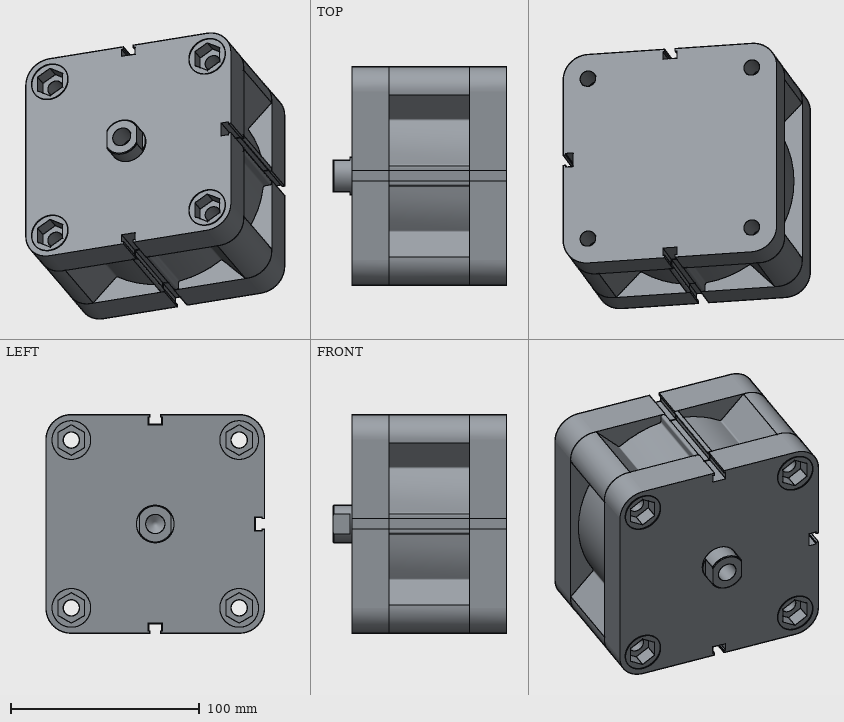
import cadquery as cq
import math


side = 116.0
half_side = side / 2
cap_length = 19.7
barrel_length = 42.6
rear_cap_start = cap_length + barrel_length
cap_corner_radius = 13.5

bolt_spacing = 89.0
bolt_hole_diameter = 8.5
hex_across_flats = 14.0
hex_depth = 8.7
washer_recess_diameter = 20.5
washer_recess_depth = 0.6

slot_turns = (0, -90, 180)
slot_mouth_width = 5.6
slot_lip = 1.4
cap_slot_width = 7.5
cap_slot_depth = 5.5
barrel_slot_width = 6.7
barrel_slot_depth = 5.0

barrel_round_radius = 53.5
strut_turns = (45, 135, 225, 315)
strut_width = 21.0
strut_end_radius = cap_corner_radius
rail_width = 10.5
rail_inset = 0.1
rail_top = half_side - rail_inset
rail_fillet = 1.0
slot_mouth_fillet = 0.3

rod_diameter = 20.0
rod_reach = 10.0
rod_chamfer = 0.5
rod_flats = 16.8
rod_flats_length = 8.9
rod_hole_diameter = 10.2
rod_hole_depth = 15.1
drill_tip_angle = 118.0


def section(x):
    """Workplane across the axis at the given X, with Y and Z as its two directions."""
    return cq.Workplane("YZ", origin=(x, 0, 0))


def bolt_points(x):
    return section(x).rect(bolt_spacing, bolt_spacing, forConstruction=True).vertices()


def bolt_holes(start, length):
    return bolt_points(start).circle(bolt_hole_diameter / 2).extrude(length)


def turned(shape, turn):
    return shape.rotate((0, 0, 0), (1, 0, 0), turn)


def t_slots(start, length, width, depth):
    """T-shaped cutters for the slotted sides."""
    lip_middle = -half_side + slot_lip / 2
    mouth = section(start).center(0, lip_middle).rect(slot_mouth_width, slot_lip).extrude(length)
    pocket_height = depth - slot_lip
    pocket_middle = -half_side + slot_lip + pocket_height / 2
    pocket = section(start).center(0, pocket_middle).rect(width, pocket_height).extrude(length)
    slot = mouth.union(pocket)
    slots = cq.Workplane("YZ")
    for turn in slot_turns:
        slots = slots.add(turned(slot, turn))
    return slots.combine()


def make_cap(start):
    cap = section(start).rect(side, side).extrude(cap_length).edges("|X").fillet(cap_corner_radius)
    cap = cap.cut(bolt_holes(start, cap_length))
    return cap.cut(t_slots(start, cap_length, cap_slot_width, cap_slot_depth))


def make_front_cap():
    """Cap with hexagon sockets in shallow washer recesses and a bore for the rod."""
    cap = make_cap(0)
    hex_across_corners = hex_across_flats / math.cos(math.pi / 6)
    sockets = section(0)
    for point in bolt_points(0).vals():
        socket = section(0).polygon(6, hex_across_corners).extrude(hex_depth)
        sockets = sockets.add(turned(socket, 90).translate(point.Center()))
    washer_recesses = bolt_points(0).circle(washer_recess_diameter / 2).extrude(washer_recess_depth)
    rod_bore = section(0).circle(rod_diameter / 2).extrude(cap_length)
    return cap.cut(sockets.combine()).cut(washer_recesses).cut(rod_bore)


def make_strut(start):
    """Flat-sided strut from the axis down to a bolt hole, with a round end about that hole."""
    bolt_reach = bolt_spacing / math.sqrt(2)
    shank = section(start).center(0, -bolt_reach / 2).rect(strut_width, bolt_reach).extrude(barrel_length)
    end = section(start).center(0, -bolt_reach).circle(strut_end_radius).extrude(barrel_length)
    end_limit = section(start).center(0, -bolt_reach).rect(strut_width, side).extrude(barrel_length)
    return shank.union(end.intersect(end_limit))


def make_barrel():
    """Round barrel with a diagonal strut to each corner and a slotted rail on three sides."""
    start = cap_length
    barrel = section(start).circle(barrel_round_radius).extrude(barrel_length)
    for turn in strut_turns:
        barrel = barrel.union(turned(make_strut(start), turn))
    for turn in slot_turns:
        rail = section(start).center(0, -rail_top / 2).rect(rail_width, rail_top).extrude(barrel_length)
        barrel = barrel.union(turned(rail, turn))
    barrel = barrel.cut(t_slots(start, barrel_length, barrel_slot_width, barrel_slot_depth))

    root_edges = edges_at_radius(barrel, barrel_round_radius)
    rail_edges = edges_at_radius(barrel, math.hypot(rail_top, rail_width / 2))
    barrel = barrel.newObject(root_edges + rail_edges).fillet(rail_fillet)
    mouth_edges = edges_at_radius(barrel, math.hypot(rail_top, slot_mouth_width / 2))
    barrel = barrel.newObject(mouth_edges).fillet(slot_mouth_fillet)

    return barrel.cut(bolt_holes(start, barrel_length))


def edges_at_radius(body, radius):
    """Edges along X that lie at this distance from the axis."""
    tolerance = 0.01
    found = []
    for edge in body.edges("|X").vals():
        middle = edge.Center()
        if abs(math.hypot(middle.y, middle.z) - radius) < tolerance:
            found.append(edge)
    return found


def make_rod():
    """Rod with two wrench flats and a drilled hole in its front end, seated in the front cap."""
    tip = -rod_reach
    rod = section(tip).circle(rod_diameter / 2).extrude(rod_reach + cap_length)
    rod = rod.faces("<X").chamfer(rod_chamfer)
    flat_gap = (side - rod_flats) / 2
    for direction in (1, -1):
        flat_middle = direction * (rod_flats + flat_gap) / 2
        flat = section(tip).center(flat_middle, 0).rect(flat_gap, side).extrude(rod_flats_length)
        rod = rod.cut(flat)

    hole_radius = rod_hole_diameter / 2
    cone_height = hole_radius / math.tan(math.radians(drill_tip_angle / 2))
    drill = (
        cq.Workplane("XY", origin=(tip, 0, 0))
        .lineTo(0, hole_radius)
        .lineTo(rod_hole_depth, hole_radius)
        .lineTo(rod_hole_depth + cone_height, 0)
        .close()
        .revolve(360, (0, 0, 0), (1, 0, 0))
    )
    return rod.cut(drill)


front_cap = make_front_cap()
barrel = make_barrel()
rear_cap = make_cap(rear_cap_start)
rod = make_rod()

bodies = [front_cap, barrel, rear_cap, rod]
result = cq.Compound.makeCompound([body.solids().val() for body in bodies])